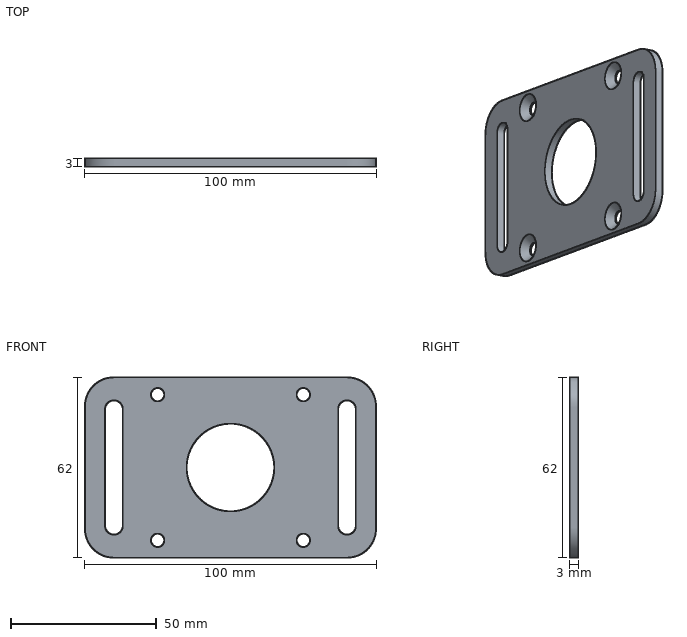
import cadquery as cq

length = 100.0
thickness = 3.0
height = 62.0
corner_radius = 10.0

bore_diameter = 30.0
screw_diameter = 4.5
sink_diameter = 9.5
sink_angle = 90.0
screw_spacing = 50.0
slot_width = 6.0
slot_length = 46.0
slot_spacing = length - 2 * corner_radius


def make_plate():
    """Upright plate with rounded corners, centred on the origin."""
    plate = cq.Workplane("XY").box(length, thickness, height)
    return plate.edges("|Y").fillet(corner_radius)


def back_face(plate):
    """Sketch plane on the +Y face, centred on the plate."""
    return plate.faces(">Y").workplane(centerOption="CenterOfBoundBox")


def cut_bore(plate):
    """Large round opening in the middle of the plate."""
    return back_face(plate).hole(bore_diameter)


def cut_screw_holes(plate):
    """Four screw holes around the bore, countersunk from the +Y face."""
    corners = back_face(plate).rect(screw_spacing, screw_spacing, forConstruction=True).vertices()
    return corners.cskHole(screw_diameter, sink_diameter, sink_angle)


def cut_slots(plate):
    """Upright slot near each end, in line with the corner centres."""
    centers = back_face(plate).rarray(slot_spacing, 1, 2, 1)
    return centers.slot2D(slot_length, slot_width, angle=90).cutThruAll()


result = cut_slots(cut_screw_holes(cut_bore(make_plate())))